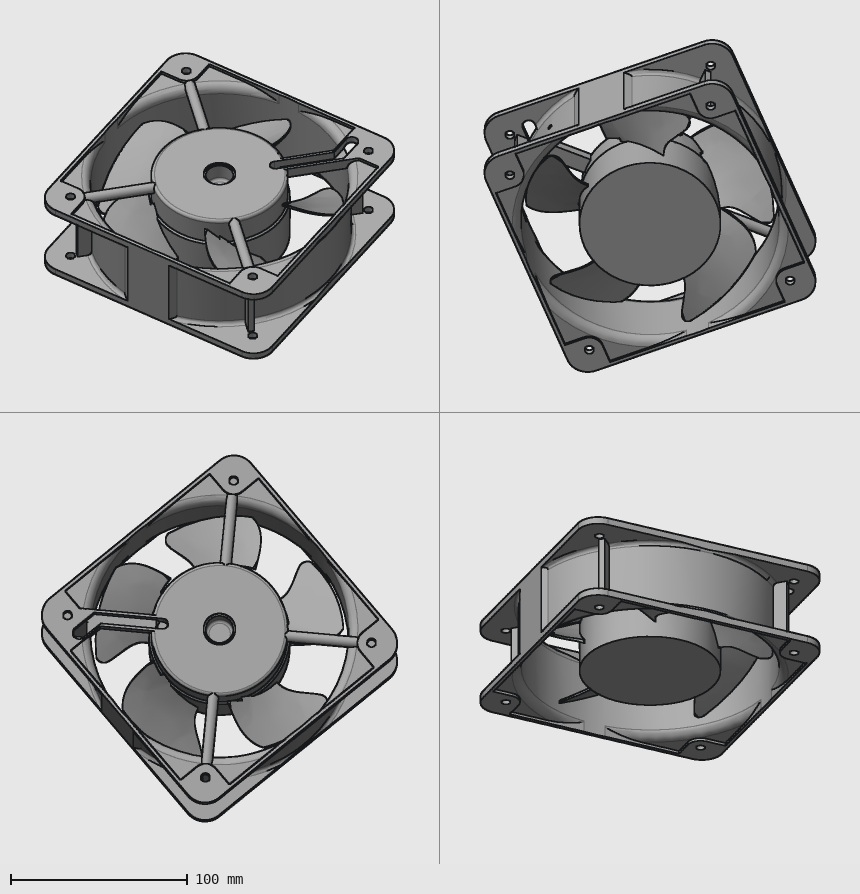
import cadquery as cq
import math

side = 150.0
height = 50.5
flange = 4.4
corner_radius = 12.5
throat_radius = 73.0
drum_radius = 74.5
drum_fillet = 2.4
flare_radius = 5.1
screw_place = 61.0
screw_radius = 2.5

recess_depth = 1.8
rim_half = 72.8
pad_edge = 53.1
pad_round = screw_place - pad_edge

rib_width = 3.6
rib_reach = 82.6
block_half = 13.8
block_foot_half = 17.5

motor_radius = 38.7
motor_fillet = 1.8
motor_bottom = 34.0
spoke_radius = 3.2
spoke_reach = screw_place * math.sqrt(2) - pad_round
bearing_radius = 7.8
bearing_depth = 12.0
bearing_floor_fillet = 1.8
bearing_step_radius = 9.0
bearing_step_depth = 1.2

arm_half = 4.6
arm_depth = 6.6
channel_half = 3.0
channel_depth = 5.1
channel_start = 32.2
well_depth = 9.0
well_end = 36.0
well_slope = 1.5
cable_pad_left = 44.2
cable_slot_left = 45.3
cable_slot_right = 52.6
cable_slot_top = 66.2
channel_end = cable_slot_right * math.sqrt(2) - channel_half

rotor_radius = 39.9
rotor_chamfer = rotor_radius - motor_radius
rotor_bottom = flange
blade_count = 5
blade_tip_radius = 70.2
blade_root_radius = 41.0
blade_embed_radius = 39.0
blade_top = 45.6
blade_bottom = 9.0
blade_top_angle = 147.0
root_start_angle = 146.5
root_step_angle = 158.6
embed_end_angle = 194.0
tip_start_angle = 161.0
tip_end_angle = 200.6
leading_edge = [(-44.2, 25.6), (-53.4, 27.0), (-60.2, 26.1)]
tip_round_middle = (-62.4, -26.5)
trailing_edge = [(-59.0, -25.5), (-51.8, -17.7), (-45.9, -12.5), (-39.2, -10.4)]
blade_drop_per_degree = 0.65
blade_width = 2.2
sheet_margin = 4.5

wall_hole_radius = 1.2
wall_hole_length = 15.0
wall_hole_x = 34.8
wall_hole_z = 30.5

half = side / 2
mid_height = height / 2
arm_angle = 45
spoke_angles = [135, 225, 315]
corner_angles = [arm_angle, *spoke_angles]


def box(x0, x1, y0, y1, z0, z1):
    """Box between two opposite corners."""
    return cq.Workplane("XY").box(x1 - x0, y1 - y0, z1 - z0, centered=False).translate((x0, y0, z0))


def along_diagonal(body, angle=arm_angle):
    """Turn a body laid along +X onto a diagonal."""
    return body.rotate((0, 0, 0), (0, 0, 1), angle)


def both_ends(lower):
    """A body at the bottom and its mirror image at the top."""
    return lower.union(lower.mirror("XY", (0, 0, mid_height)))


def polar(radius, angle):
    """Point in the XY plane from radius and angle in degrees."""
    turn = math.radians(angle)
    return (radius * math.cos(turn), radius * math.sin(turn))


def make_envelope():
    """Flanges, drum, ribs and blocks, before anything is hollowed out."""
    plate = cq.Workplane("XY").rect(side, side).extrude(flange).edges("|Z").fillet(corner_radius)
    fillet_reach = drum_radius + drum_fillet
    arc_offset = drum_fillet * (1 - math.sqrt(0.5))
    top_of_drum = height - flange
    drum = (
        cq.Workplane("XZ")
        .moveTo(0, flange)
        .lineTo(fillet_reach, flange)
        .threePointArc((drum_radius + arc_offset, flange + arc_offset), (drum_radius, flange + drum_fillet))
        .lineTo(drum_radius, top_of_drum - drum_fillet)
        .threePointArc((drum_radius + arc_offset, top_of_drum - arc_offset), (fillet_reach, top_of_drum))
        .lineTo(0, top_of_drum)
        .close()
        .revolve(360, (0, 0, 0), (0, 1, 0))
        .intersect(box(-half, half, -half, half, 0, height))
    )
    body = both_ends(plate).union(drum)

    rib = box(0, rib_reach, -rib_width / 2, rib_width / 2, flange, height - flange)
    for angle in corner_angles:
        body = body.union(along_diagonal(rib, angle))

    foot = math.sqrt(drum_radius**2 - block_foot_half**2)
    outline = [(-block_foot_half, foot), (-block_half, half), (block_half, half), (block_foot_half, foot)]
    block = cq.Workplane("XY").polyline(outline).close().extrude(height)
    return body.union(block).union(block.mirror("XZ"))


def make_recess():
    """Sunken area of the lower flange face, leaving a raised pad at each screw hole."""
    recess = box(-rim_half, rim_half, -rim_half, rim_half, 0, recess_depth)
    pad = (
        box(pad_edge, half, pad_edge, half, 0, recess_depth)
        .edges("|Z and <X and <Y")
        .fillet(pad_round)
    )
    for angle in corner_angles:
        recess = recess.cut(pad.rotate((0, 0, 0), (0, 0, 1), angle - arm_angle))
    return recess


def make_flare():
    """Rounded mouth from the recess floor into the throat, kept inside the rim."""
    mouth = throat_radius + flare_radius
    arc_offset = flare_radius * (1 - math.sqrt(0.5))
    throat_start = recess_depth + flare_radius
    flare = (
        cq.Workplane("XZ")
        .moveTo(0, 0)
        .lineTo(mouth, 0)
        .lineTo(mouth, recess_depth)
        .threePointArc(
            (throat_radius + arc_offset, recess_depth + arc_offset), (throat_radius, throat_start)
        )
        .lineTo(0, throat_start)
        .close()
        .revolve(360, (0, 0, 0), (0, 1, 0))
    )
    return flare.intersect(box(-rim_half, rim_half, -rim_half, rim_half, 0, throat_start))


def make_motor():
    """Fixed motor housing with a stepped bearing hole in its top."""
    motor = (
        cq.Workplane("XY", origin=(0, 0, motor_bottom))
        .circle(motor_radius)
        .extrude(height - motor_bottom)
        .faces(">Z")
        .edges()
        .fillet(motor_fillet)
    )
    bearing = (
        cq.Workplane("XY", origin=(0, 0, height - bearing_depth))
        .circle(bearing_radius)
        .extrude(bearing_depth)
        .faces("<Z")
        .edges()
        .fillet(bearing_floor_fillet)
    )
    step = (
        cq.Workplane("XY", origin=(0, 0, height - bearing_step_depth))
        .circle(bearing_step_radius)
        .extrude(bearing_step_depth)
    )
    return motor.cut(bearing).cut(step)


def make_trim_core():
    """Drum-wide cylinder joined to the full upper flange, used to trim parts that reach the wall."""
    core = cq.Workplane("XY").circle(drum_radius).extrude(height)
    return core.union(box(-half, half, -half, half, height - flange, height))


def add_cable_arm(frame):
    """Channelled arm that leads the cable from the motor to a slot in the corner pad."""
    arm_bottom = height - arm_depth
    arm = along_diagonal(box(channel_start, spoke_reach, -arm_half, arm_half, arm_bottom, height))
    pad = (
        cq.Workplane("XY", origin=(0, 0, arm_bottom))
        .moveTo(cable_pad_left, rim_half)
        .lineTo(cable_pad_left, cable_pad_left + arm_half * math.sqrt(2))
        .lineTo(pad_edge, pad_edge - arm_half * math.sqrt(2))
        .lineTo(pad_edge + arm_half * math.sqrt(2), pad_edge)
        .lineTo(screw_place, pad_edge)
        .lineTo(screw_place, rim_half)
        .close()
        .extrude(arm_depth)
    )
    frame = frame.union(arm.union(pad).intersect(make_trim_core()))

    channel = box(channel_start, channel_end, -channel_half, channel_half, height - channel_depth, height)
    well_floor = height - well_depth
    well_side = [
        (channel_start, height),
        (channel_start, well_floor),
        (well_end - well_slope, well_floor),
        (well_end, height - channel_depth),
        (well_end, height),
    ]
    well = cq.Workplane("XZ").polyline(well_side).close().extrude(channel_half, both=True)
    well_round = (
        cq.Workplane("XY", origin=(channel_start, 0, well_floor)).circle(channel_half).extrude(well_depth)
    )
    frame = frame.cut(along_diagonal(channel.union(well).union(well_round)))

    slot_radius = (cable_slot_right - cable_slot_left) / 2
    slot_middle = (cable_slot_right + cable_slot_left) / 2
    slot = (
        cq.Workplane("XY", origin=(0, 0, height - channel_depth))
        .moveTo(cable_slot_left, cable_slot_left + channel_half * math.sqrt(2))
        .lineTo(cable_slot_left, cable_slot_top - slot_radius)
        .threePointArc((slot_middle, cable_slot_top), (cable_slot_right, cable_slot_top - slot_radius))
        .lineTo(cable_slot_right, cable_slot_right - channel_half * math.sqrt(2))
        .close()
        .extrude(channel_depth)
    )
    return frame.cut(slot)


def make_wall_hole():
    """Small hole through the +Y side of the drum wall."""
    return (
        cq.Workplane("XZ", origin=(wall_hole_x, half, wall_hole_z))
        .circle(wall_hole_radius)
        .extrude(wall_hole_length)
    )


def make_frame():
    """Housing, spokes, motor and cable arm as one casting."""
    frame = make_envelope()
    frame = frame.cut(cq.Workplane("XY").circle(throat_radius).extrude(height))
    frame = frame.cut(both_ends(make_recess()))
    frame = frame.cut(both_ends(make_flare()))

    spoke = (
        cq.Workplane("YZ", origin=(motor_radius - motor_fillet, 0, height - spoke_radius))
        .circle(spoke_radius)
        .extrude(spoke_reach - motor_radius + motor_fillet)
    )
    for angle in spoke_angles:
        frame = frame.union(along_diagonal(spoke, angle).intersect(make_trim_core()))

    frame = add_cable_arm(frame.union(make_motor()))
    screws = cq.Workplane("XY").rect(2 * screw_place, 2 * screw_place, forConstruction=True).vertices()
    frame = frame.cut(screws.circle(screw_radius).extrude(height))
    return frame.cut(make_wall_hole())


def make_blade():
    """Helical sheet trimmed to the plan outline of one blade."""
    rise = blade_top - blade_bottom
    twist = rise / blade_drop_per_degree
    sheet = (
        cq.Workplane("XY")
        .moveTo((blade_tip_radius + blade_embed_radius) / 2, 0)
        .rect(blade_tip_radius - blade_embed_radius + 2 * sheet_margin, blade_width)
        .twistExtrude(rise, -twist)
        .rotate((0, 0, 0), (0, 0, 1), blade_top_angle + twist)
        .translate((0, 0, blade_bottom))
    )
    root_start = polar(blade_root_radius, root_start_angle)
    root_middle = polar(blade_root_radius, (root_start_angle + root_step_angle) / 2)
    root_step = polar(blade_root_radius, root_step_angle)
    embed_start = polar(blade_embed_radius, root_step_angle)
    embed_middle = polar(blade_embed_radius, (root_step_angle + embed_end_angle) / 2)
    embed_end = polar(blade_embed_radius, embed_end_angle)
    tip_start = polar(blade_tip_radius, tip_start_angle)
    tip_end = polar(blade_tip_radius, tip_end_angle)
    outline = (
        cq.Workplane("XY")
        .moveTo(*root_start)
        .spline([*leading_edge, tip_start], includeCurrent=True)
        .threePointArc((-blade_tip_radius, 0), tip_end)
        .threePointArc(tip_round_middle, trailing_edge[0])
        .spline(trailing_edge[1:], includeCurrent=True)
        .lineTo(*embed_end)
        .threePointArc(embed_middle, embed_start)
        .lineTo(*root_step)
        .threePointArc(root_middle, root_start)
        .close()
        .extrude(height)
    )
    return sheet.intersect(outline)


def make_rotor():
    """Rotor drum under the motor, with its ring of blades."""
    rotor = (
        cq.Workplane("XY", origin=(0, 0, rotor_bottom))
        .circle(rotor_radius)
        .extrude(motor_bottom - rotor_bottom)
        .faces(">Z")
        .edges()
        .chamfer(rotor_chamfer)
    )
    blade = make_blade()
    for index in range(blade_count):
        rotor = rotor.union(blade.rotate((0, 0, 0), (0, 0, 1), index * 360 / blade_count))
    return rotor


frame = make_frame()
rotor = make_rotor()
result = cq.Compound.makeCompound([frame.val(), rotor.val()])